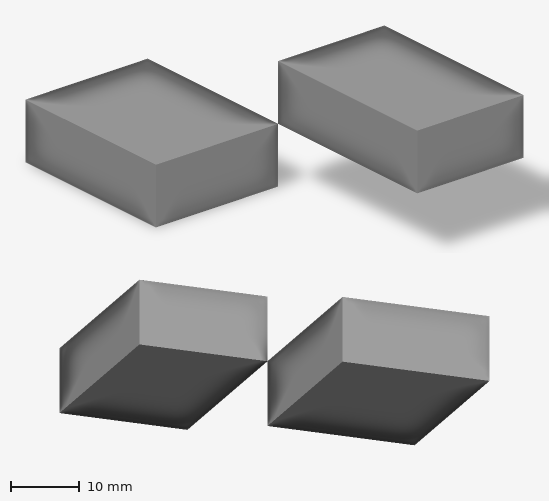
import cadquery as cq

total_length = 62.0
total_height = 20.0

block_height = total_height / 2

lower_length = 30.0
lower_width = 23.0
upper_length = total_length - lower_length
upper_width = 20.0


def make_lower_block():
    """Block whose top +X +Y corner is at the origin."""
    return cq.Workplane("XY").box(lower_length, lower_width, block_height, centered=False).translate(
        (-lower_length, -lower_width, -block_height)
    )


def make_upper_block():
    """Block whose bottom -X -Y corner is at the origin, so the blocks touch at that point only."""
    return cq.Workplane("XY").box(upper_length, upper_width, block_height, centered=False)


lower_block = make_lower_block()
upper_block = make_upper_block()

result = cq.Compound.makeCompound([lower_block.val(), upper_block.val()])